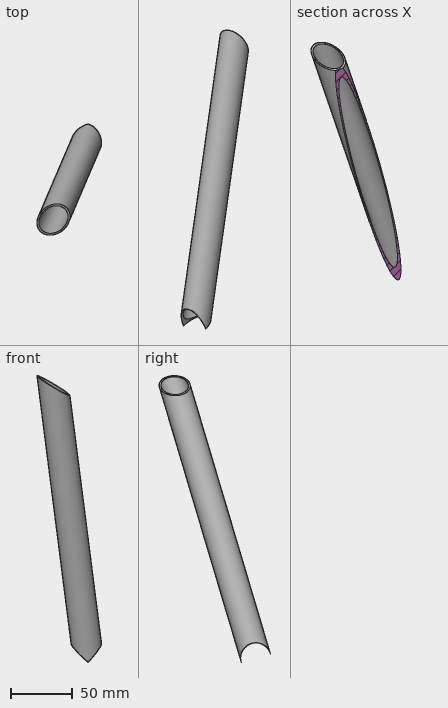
import cadquery as cq

outer_radius = 12.3
wall = 1.5

top_centre = cq.Vector(-13.0, -32.8, 108.3)
bottom_centre = cq.Vector(15.1, 33.0, -113.0)
overrun = 35.0

top_slope_x = -0.62
top_slope_y = 0.12

saddle_radius = outer_radius
cutter_size = 139.7

axis = (top_centre - bottom_centre).normalized()
tube_start = bottom_centre - axis * overrun
tube_length = (top_centre - bottom_centre).Length + 2 * overrun


def rod(radius):
    """Solid rod along the tube axis, running past both ends."""
    return cq.Workplane(cq.Solid.makeCylinder(radius, tube_length, tube_start, axis))


def top_cutter():
    """Block above the sloping top plane."""
    normal = cq.Vector(-top_slope_x, -top_slope_y, 1)
    plane = cq.Plane(origin=top_centre, normal=normal)
    return cq.Workplane(plane).rect(cutter_size, cutter_size).extrude(cutter_size)


def bottom_cutter():
    """Round-topped bar along X, with everything beyond it down the tube."""
    along_x = cq.Vector(1, 0, 0)
    across_tube = axis.cross(along_x)
    saddle_plane = cq.Plane(origin=bottom_centre, xDir=across_tube, normal=along_x)
    return (
        cq.Workplane(saddle_plane)
        .moveTo(-saddle_radius, 0)
        .threePointArc((0, saddle_radius), (saddle_radius, 0))
        .lineTo(cutter_size / 2, 0)
        .lineTo(cutter_size / 2, -cutter_size)
        .lineTo(-cutter_size / 2, -cutter_size)
        .lineTo(-cutter_size / 2, 0)
        .close()
        .extrude(cutter_size / 2, both=True)
    )


tube = rod(outer_radius).cut(rod(outer_radius - wall))
result = tube.cut(top_cutter()).cut(bottom_cutter())